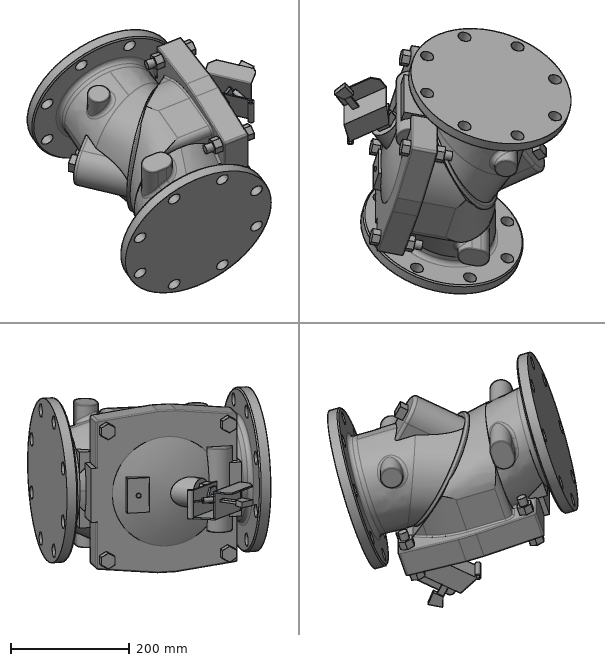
import cadquery as cq
import math

LENGTH = 355.6
OVERALL_Y = 393.33
OVERALL_Z = 282.55
FLANGE_D = 279.4
FLANGE_T = 19.5
FLANGE_CHAMFER = 2.5
BOLT_CIRCLE_D = 241.3
FLANGE_HOLE_D = 22.2
FLANGE_HOLES = 8
PIPE_R = 86.8
NECK_FILLET = 8.0
NECK_END_X = 142.0
FLANGE_FACE_X = LENGTH / 2 - FLANGE_T

COVER_Y0 = 79.5
COVER_Y1 = 125.0
COVER_HALF_X = 123.0
COVER_END_HALF_Z = 129.0
COVER_HALF_Z = OVERALL_Z / 2
COVER_CREST_HALF_X = 16.0
COVER_EDGE_FILLET = 2.0
COVER_CORNER_R = 4.0

SEAT_SUM = -16.0
SEAT_X = -25.0
SEAT_RIM = (105.0, 113.0)
SEAT_RIM_T = 9.0
SEAT_RIM_FILLET = 4.0
INLET_MOUTH = (100.0, 104.0)
INLET_OVERLAP = 2.0

NECK_CUT_TOP_X = -110.0
NECK_CUT_LOW_X = -38.0
NECK_CUT_HALF_Z = 95.0

CHAMBER_HALF_Z = 122.5
CHAMBER_SPRING_Y = 18.0
CHAMBER_FLOOR_X = 46.0
CHAMBER_FLOOR_Y = -62.0
CHAMBER_END_X = 81.0
TAPER_HALF_Z = 111.0
CHAMBER_CORNER_R = 12.0
SHOULDER_POINTS = ((-105.0, 72.0), (-71.0, 96.0), (-40.0, 114.0))
CHAMBER_BACK_X = -130.0

STUB_R = 19.0
STUB_FILLET = 1.5
INLET_STUB_X, INLET_STUB_Y, INLET_STUB_Z = -93.5, -47.0, 105.5
OUTLET_STUB_X, OUTLET_STUB_Y, OUTLET_STUB_Z = 100.8, -38.5, 124.0
OUTLET_STUB_LENGTH = 53.7

BOSS_R = 36.0
BOSS_CENTRE_W = 40.5
BOSS_START = 5.0
BOSS_END = 112.0
BOSS_FILLET = 6.0
BOSS_BACK_W = -20.0
STUD_SIZE = 21.0
STUD_CENTRE_W = 42.5
STUD_END = 127.0

BOLT_X = 105.7
BOLT_Z = 112.5
BOLT_D = 15.9
HEX_AF = 24.0
BOLT_HEAD_TOP_Y = 139.0
NUT_LOW_Y = 65.0
BOLT_END_Y = 51.0
DOME_R = 95.0
DOME_TOP_Y = 142.0
HINGE_X, HINGE_Y = -92.0, 120.8
HINGE_R = 22.7
HINGE_HALF_Z = 73.0
LUG_HALF_Z = 47.0
INLET_LUG_X = -126.5
OUTLET_LUG_X = 132.0
OUTLET_RIB_HALF_Z = 66.0
OUTLET_RIB_Y0, OUTLET_RIB_Y1 = 55.0, 82.0
PLATE_X0, PLATE_X1 = 35.0, 73.0
PLATE_HALF_Z = 30.0
PLATE_Y0, PLATE_Y1 = 130.0, 143.5
NUB_R = 4.0
NUB_TOP_Y = 146.2

SWITCH_X, SWITCH_Y = -51.5, 154.3
SWITCH_BOSS_R = 26.0
SWITCH_BOSS_DEPTH = 45.0
GLAND_V = -2.5
GLAND_NECK_R = 15.0
GLAND_R, GLAND_U0 = 21.8, 3.5
LOCKNUT_R, LOCKNUT_U1 = 16.0, 24.0
BRACKET_U0, BRACKET_U1 = 18.2, 20.7
BRACKET_V0, BRACKET_V1 = -19.7, 59.0
BRACKET_Z0, BRACKET_Z1 = -29.8, 19.7
SHEET_T = 2.5
HEAD_U0, HEAD_U1 = 54.0, 87.5
HEAD_V0, HEAD_V1 = -36.6, 46.5
HEAD_CHAMFER = 11.5
HEAD_FILLET = 9.0
BEND_R = 2.0
ROLL_U, ROLL_V = 15.8, 58.2
ROLL_R, ROLL_BORE_R = 5.2, 2.6
ROD_R = 2.3
WIRE_R = 1.2
BARREL_R = 4.7
PIVOT = (51.0, 10.2)
ROD_FOOT = (BRACKET_U0, 1.6)
BARREL_ENDS = (0.2, 0.68)
SWITCH_TOP_Y = OVERALL_Y - FLANGE_D / 2
TAB_HALF_Z = 5.0
TAB_STEM_HALF_Z = 2.0
TAB_STEM_HALF_V = 6.0
TAB_STEM_V = 23.0
TAB_POINTS = ((-121.3, 241.0), (-99.2, SWITCH_TOP_Y), (-92.5, 235.0), (-106.0, 222.5))

ROOT_FILLET = 7.0
COVER_ROOT_FILLET = 3.0
SEAM_TOLERANCE = 0.01

ROOT2 = math.sqrt(2)
SEAT_Y = SEAT_SUM - SEAT_X


def box(x0, x1, y0, y1, z0, z1):
    """Axis-aligned block between the given limits."""
    block = cq.Workplane("XY").box(x1 - x0, y1 - y0, z1 - z0, centered=False)
    return block.translate((x0, y0, z0))


def rod(start, end, radius):
    """Round bar between two points."""
    a = cq.Vector(*start)
    axis = cq.Vector(*end) - a
    return cq.Workplane(obj=cq.Solid.makeCylinder(radius, axis.Length, a, axis))


def slope_plane(x, y):
    """Plane at 45 degrees: local x runs down the slope, local y along Z, normal to -X -Y."""
    return cq.Plane(origin=(x, y, 0), xDir=(1, -1, 0), normal=(-1, -1, 0))


def ellipse_wire(plane, half_x, half_y):
    """Closed ellipse on a plane, given its half sizes."""
    return cq.Workplane(plane).ellipse(half_x, half_y).wire().val()


def ruled_loft(*wires):
    """Solid with straight sides between closed sections."""
    return cq.Workplane(obj=cq.Solid.makeLoft(list(wires), True))


def end_flange(side):
    """Drilled flange with its filleted neck; side is -1 for the inlet, +1 for the outlet."""
    half = LENGTH / 2
    fillet_end = FLANGE_FACE_X - NECK_FILLET
    diagonal = NECK_FILLET * (1 - 1 / ROOT2)
    flange_r = FLANGE_D / 2
    flange = (
        cq.Workplane("XY")
        .moveTo(NECK_END_X, 0)
        .lineTo(NECK_END_X, PIPE_R)
        .lineTo(fillet_end, PIPE_R)
        .threePointArc(
            (FLANGE_FACE_X - diagonal, PIPE_R + diagonal),
            (FLANGE_FACE_X, PIPE_R + NECK_FILLET),
        )
        .lineTo(FLANGE_FACE_X, flange_r - FLANGE_CHAMFER)
        .lineTo(FLANGE_FACE_X + FLANGE_CHAMFER, flange_r)
        .lineTo(half, flange_r)
        .lineTo(half, 0)
        .close()
        .revolve(360, (0, 0, 0), (1, 0, 0))
    )
    holes = (
        cq.Workplane("YZ", origin=(FLANGE_FACE_X, 0, 0))
        .polarArray(BOLT_CIRCLE_D / 2, 180 / FLANGE_HOLES, 360, FLANGE_HOLES)
        .circle(FLANGE_HOLE_D / 2)
        .extrude(FLANGE_T)
    )
    flange = flange.cut(holes)
    return flange if side > 0 else flange.mirror("YZ")


def inlet_body():
    """Pipe that widens from the round neck to the large inclined seat."""
    rise = 2 * PIPE_R
    run = NECK_CUT_LOW_X - NECK_CUT_TOP_X
    cut_plane = cq.Plane(
        origin=((NECK_CUT_TOP_X + NECK_CUT_LOW_X) / 2, 0, 0),
        xDir=(run, -rise, 0),
        normal=(-rise, -run, 0),
    )
    neck_plane = cq.Plane(origin=(-NECK_END_X, 0, 0), xDir=(0, -1, 0), normal=(-1, 0, 0))
    neck = ellipse_wire(neck_plane, PIPE_R, PIPE_R)
    tilted = ellipse_wire(cut_plane, math.hypot(rise, run) / 2, NECK_CUT_HALF_Z)
    mouth = ellipse_wire(
        slope_plane(SEAT_X + INLET_OVERLAP, SEAT_Y + INLET_OVERLAP), *INLET_MOUTH
    )
    body = ruled_loft(neck, tilted).union(ruled_loft(tilted, mouth))
    return body.cut(above_cover_face())


def above_cover_face():
    """Everything past mid-thickness of the cover."""
    reach = LENGTH
    return box(-reach, reach, (COVER_Y0 + COVER_Y1) / 2, reach, -reach, reach)


def seat_rim():
    """Raised oval rim where the two halves of the body meet."""
    rim = (
        cq.Workplane(slope_plane(SEAT_X, SEAT_Y))
        .ellipse(*SEAT_RIM)
        .extrude(SEAT_RIM_T / 2, both=True)
        .edges()
        .fillet(SEAT_RIM_FILLET)
    )
    return rim.cut(above_cover_face())


def floor_y(x):
    """Y of the sloping floor line of the outlet half."""
    slope = (-PIPE_R - CHAMBER_FLOOR_Y) / (NECK_END_X - CHAMBER_FLOOR_X)
    return CHAMBER_FLOOR_Y + slope * (x - CHAMBER_FLOOR_X)


def chamber_wire(x):
    """U-shaped section: elliptical floor with straight sides up into the cover."""
    depth = CHAMBER_SPRING_Y - floor_y(x)
    top = COVER_Y0 + COVER_EDGE_FILLET
    return (
        cq.Workplane(cq.Plane(origin=(x, 0, 0), xDir=(0, 0, 1), normal=(-1, 0, 0)))
        .moveTo(-CHAMBER_HALF_Z, top)
        .lineTo(-CHAMBER_HALF_Z, CHAMBER_SPRING_Y)
        .ellipseArc(CHAMBER_HALF_Z, depth, 180, 360, startAtCurrent=True)
        .lineTo(CHAMBER_HALF_Z, top)
        .close()
        .wire()
        .val()
    )


def chamber_outline():
    """Outline of the chamber seen along Y: curved shoulders and rounded outlet corners."""
    (x0, z0), (x1, z1), (x2, z2) = SHOULDER_POINTS
    return (
        cq.Workplane("XZ")
        .moveTo(x0, -z0)
        .lineTo(x1, -z1)
        .threePointArc((x2, -z2), (0, -CHAMBER_HALF_Z))
        .lineTo(CHAMBER_END_X, -CHAMBER_HALF_Z)
        .lineTo(CHAMBER_END_X, CHAMBER_HALF_Z)
        .lineTo(0, CHAMBER_HALF_Z)
        .threePointArc((x2, z2), (x1, z1))
        .lineTo(x0, z0)
        .close()
        .extrude(LENGTH, both=True)
        .edges("|Y and >X")
        .fillet(CHAMBER_CORNER_R)
    )


def outlet_body():
    """Deep chamber under the cover that tapers to the round outlet neck."""
    chamber = ruled_loft(chamber_wire(CHAMBER_BACK_X), chamber_wire(NECK_END_X))
    start_plane = cq.Plane(
        origin=(CHAMBER_END_X, CHAMBER_SPRING_Y, 0), xDir=(0, 1, 0), normal=(1, 0, 0)
    )
    end_plane = cq.Plane(origin=(NECK_END_X, 0, 0), xDir=(0, 1, 0), normal=(1, 0, 0))
    taper = ruled_loft(
        ellipse_wire(start_plane, CHAMBER_SPRING_Y - floor_y(CHAMBER_END_X), TAPER_HALF_Z),
        ellipse_wire(end_plane, PIPE_R, PIPE_R),
    )
    reach = LENGTH
    inlet_side = (
        cq.Workplane(slope_plane(SEAT_X, SEAT_Y)).rect(2 * reach, 2 * reach).extrude(reach)
    )
    return chamber.intersect(chamber_outline()).cut(inlet_side).union(taper)


def rounded_stub(profile, reach_z):
    """Stub pair through the body from a flat profile, with eased end edges."""
    stub = profile.extrude(reach_z, both=True)
    return stub.faces("<Z or >Z").edges().fillet(STUB_FILLET)


def inlet_stubs():
    """Round stub pair of the inlet half."""
    profile = cq.Workplane("XY", origin=(INLET_STUB_X, INLET_STUB_Y, 0)).circle(STUB_R)
    return rounded_stub(profile, INLET_STUB_Z)


def outlet_stubs():
    """Oblong stub pair of the outlet half."""
    profile = cq.Workplane("XY", origin=(OUTLET_STUB_X, OUTLET_STUB_Y, 0))
    return rounded_stub(profile.slot2D(OUTLET_STUB_LENGTH, 2 * STUB_R, 90), OUTLET_STUB_Z)


def join_with_fillet(body, piece, radius):
    """Union of two solids with a fillet along the new edges where they meet."""
    joined = body.union(piece)
    old_edges = cq.Compound.makeCompound(body.edges().vals() + piece.edges().vals())
    seam = []
    for edge in joined.edges().vals():
        middle = cq.Vertex.makeVertex(*edge.positionAt(0.5).toTuple())
        if old_edges.distance(middle) > SEAM_TOLERANCE:
            seam.append(edge)
    return joined.newObject(seam).fillet(radius)


def stud_boss():
    """Half-round boss with a square stud on its inclined end face."""
    boss = (
        cq.Workplane(slope_plane(0, 0))
        .workplane(offset=BOSS_START)
        .moveTo(BOSS_BACK_W, -BOSS_R)
        .lineTo(BOSS_CENTRE_W, -BOSS_R)
        .threePointArc((BOSS_CENTRE_W + BOSS_R, 0), (BOSS_CENTRE_W, BOSS_R))
        .lineTo(BOSS_BACK_W, BOSS_R)
        .close()
        .extrude(BOSS_END - BOSS_START)
        .faces(">(-1,-1,0)")
        .edges("not |Z")
        .fillet(BOSS_FILLET)
    )
    stud = (
        cq.Workplane(slope_plane(0, 0))
        .workplane(offset=BOSS_START)
        .center(STUD_CENTRE_W, 0)
        .rect(STUD_SIZE, STUD_SIZE)
        .extrude(STUD_END - BOSS_START)
    )
    return boss.union(stud)


def cover_block():
    """Cover and body flange: a block with a slight crest on its +Z and -Z sides."""
    upper = [
        (COVER_HALF_X, COVER_END_HALF_Z),
        (COVER_CREST_HALF_X, COVER_HALF_Z),
        (-COVER_CREST_HALF_X, COVER_HALF_Z),
        (-COVER_HALF_X, COVER_END_HALF_Z),
    ]
    lower = [(-x, -z) for x, z in upper]
    return (
        cq.Workplane("XZ", origin=(0, COVER_Y1, 0))
        .polyline(upper + lower)
        .close()
        .extrude(COVER_Y1 - COVER_Y0)
        .edges("|Y and (<X or >X)")
        .fillet(COVER_CORNER_R)
        .faces("<Y or >Y")
        .edges()
        .fillet(COVER_EDGE_FILLET)
    )


def cover_bolts():
    """Corner bolts with hexagonal heads, nuts and projecting ends."""
    hex_d = HEX_AF / math.cos(math.pi / 6)
    corners = [(sx * BOLT_X, sz * BOLT_Z) for sx in (-1, 1) for sz in (-1, 1)]
    bolts = (
        cq.Workplane("XZ", origin=(0, COVER_Y1, 0))
        .pushPoints(corners)
        .circle(BOLT_D / 2)
        .extrude(COVER_Y1 - BOLT_END_Y)
    )
    for x, z in corners:
        hexagon = (
            cq.Workplane("XZ", origin=(x, BOLT_HEAD_TOP_Y, z))
            .transformed(rotate=(0, 0, 90))
            .polygon(6, hex_d)
            .extrude(BOLT_HEAD_TOP_Y - NUT_LOW_Y)
        )
        bolts = bolts.union(hexagon)
    return bolts


def cover_fittings():
    """Dome, hinge housing, end lugs and name plate pad of the cover."""
    rise = DOME_TOP_Y - COVER_Y1
    ball_r = (DOME_R**2 + rise**2) / (2 * rise)
    dome_core = (
        cq.Workplane("XZ", origin=(0, COVER_Y0 + COVER_EDGE_FILLET, 0))
        .circle(DOME_R)
        .extrude(COVER_Y0 - DOME_TOP_Y)
    )
    ball = cq.Workplane("XY").sphere(ball_r).translate((0, DOME_TOP_Y - ball_r, 0))
    hinge = (
        cq.Workplane("XY", origin=(HINGE_X, HINGE_Y, 0))
        .circle(HINGE_R)
        .extrude(HINGE_HALF_Z, both=True)
        .edges()
        .fillet(STUB_FILLET)
    )
    inlet_lug = box(
        INLET_LUG_X, HINGE_X, COVER_Y0, BOLT_HEAD_TOP_Y, -LUG_HALF_Z, LUG_HALF_Z
    )
    outlet_lug = box(0, OUTLET_LUG_X, COVER_Y0, COVER_Y1, -LUG_HALF_Z, LUG_HALF_Z)
    outlet_rib = box(
        CHAMBER_END_X,
        NECK_END_X,
        OUTLET_RIB_Y0,
        OUTLET_RIB_Y1,
        -OUTLET_RIB_HALF_Z,
        OUTLET_RIB_HALF_Z,
    )
    pad = box(PLATE_X0, PLATE_X1, PLATE_Y0, PLATE_Y1, -PLATE_HALF_Z, PLATE_HALF_Z)
    nub = rod(
        ((PLATE_X0 + PLATE_X1) / 2, PLATE_Y0, 0),
        ((PLATE_X0 + PLATE_X1) / 2, NUB_TOP_Y, 0),
        NUB_R,
    )
    fittings = ball.intersect(dome_core)
    for piece in (hinge, inlet_lug, outlet_lug, outlet_rib, pad, nub):
        fittings = fittings.union(piece)
    return fittings


def switch_point(u, v):
    """X and Y of a point given along (u) and across (v) the switch axis."""
    return (SWITCH_X + (v - u) / ROOT2, SWITCH_Y + (v + u) / ROOT2)


def switch_sheet(points, z0, z1):
    """Flat piece with its outline in (u, v), between two Z levels."""
    outline = [switch_point(u, v) for u, v in points]
    return cq.Workplane("XY", origin=(0, 0, z0)).polyline(outline).close().extrude(z1 - z0)


def switch_strip(u0, u1, v0, v1, z0=BRACKET_Z0, z1=BRACKET_Z1):
    """Rectangular piece aligned with the switch axis."""
    return switch_sheet([(u0, v0), (u1, v0), (u1, v1), (u0, v1)], z0, z1)


def switch_round(u0, u1, v, radius):
    """Round piece along the switch axis."""
    return rod((*switch_point(u0, v), 0), (*switch_point(u1, v), 0), radius)


def switch_hexagon(u0, u1, radius):
    """Hexagonal nut along the switch axis with two corners in the XY plane."""
    x, y = switch_point(u0, GLAND_V)
    plane = cq.Plane(origin=(x, y, 0), xDir=(1, 1, 0), normal=(-1, 1, 0))
    return cq.Workplane(plane).polygon(6, 2 * radius).extrude(u1 - u0)


def switch_head():
    """Thin upright sheet with one bevelled corner, one rounded corner and an eased bend."""
    chamfer_v = HEAD_V0 + HEAD_CHAMFER
    chamfer_u = HEAD_U1 - HEAD_CHAMFER
    outline = [
        (HEAD_U0, HEAD_V0),
        (chamfer_u, HEAD_V0),
        (HEAD_U1, chamfer_v),
        (HEAD_U1, HEAD_V1),
        (HEAD_U0, HEAD_V1),
    ]
    sheet = switch_sheet(outline, BRACKET_Z1 - SHEET_T, BRACKET_Z1)
    sheet = sheet.edges("|Z").edges(">Y").fillet(HEAD_FILLET)
    return sheet.faces(">Z").edges(">(1,-1,0)").fillet(BEND_R)


def switch_lever():
    """Wire with a thick barrel, running from the pivot rod to the rolled sheet edge."""
    start = cq.Vector(*switch_point(*PIVOT), 0)
    end = cq.Vector(*switch_point(ROLL_U + ROLL_R, ROLL_V), 0)
    near, far = (start + (end - start) * share for share in BARREL_ENDS)
    pivot_rod = rod((*switch_point(*ROD_FOOT), 0), start.toTuple(), ROD_R)
    wire = rod(start.toTuple(), end.toTuple(), WIRE_R)
    barrel = rod(near.toTuple(), far.toTuple(), BARREL_R)
    return pivot_rod.union(wire).union(barrel)


def switch():
    """Inclined boss, gland nuts, folded bracket, lever and pull tab."""
    base = switch_strip(BRACKET_U0, BRACKET_U1, BRACKET_V0, BRACKET_V1)
    shelf = switch_strip(
        HEAD_U0, HEAD_U0 + SHEET_T, HEAD_V0, HEAD_V1, z1=BRACKET_Z1 - SHEET_T
    )
    web = switch_sheet(
        [
            (BRACKET_U0, BRACKET_V0),
            (HEAD_U0, HEAD_V0),
            (HEAD_U0 + SHEET_T, HEAD_V1),
            (BRACKET_U0, BRACKET_V1),
        ],
        BRACKET_Z0,
        BRACKET_Z0 + SHEET_T,
    )
    roll_x, roll_y = switch_point(ROLL_U, ROLL_V)
    roll_plane = cq.Workplane("XY", origin=(roll_x, roll_y, BRACKET_Z0))
    roll = roll_plane.circle(ROLL_R).extrude(BRACKET_Z1 - BRACKET_Z0)
    roll_bore = roll_plane.circle(ROLL_BORE_R).extrude(BRACKET_Z1 - BRACKET_Z0)
    tab = (
        cq.Workplane("XY")
        .polyline(TAB_POINTS)
        .close()
        .extrude(TAB_HALF_Z, both=True)
    )
    stem = switch_strip(
        HEAD_U0,
        HEAD_U1 + 2 * SHEET_T,
        TAB_STEM_V - TAB_STEM_HALF_V,
        TAB_STEM_V + TAB_STEM_HALF_V,
        -TAB_STEM_HALF_Z,
        TAB_STEM_HALF_Z,
    )
    pieces = (
        switch_round(0, GLAND_U0, GLAND_V, GLAND_NECK_R),
        switch_hexagon(GLAND_U0, BRACKET_U0, GLAND_R),
        switch_hexagon(BRACKET_U0, LOCKNUT_U1, LOCKNUT_R),
        base,
        shelf,
        web,
        switch_head(),
        switch_lever(),
        roll,
        stem,
        tab,
    )
    assembly = switch_round(-SWITCH_BOSS_DEPTH, 0, 0, SWITCH_BOSS_R)
    for piece in pieces:
        assembly = assembly.union(piece)
    return assembly.cut(roll_bore)


inlet_half = join_with_fillet(inlet_body(), inlet_stubs(), ROOT_FILLET)
outlet_half = join_with_fillet(outlet_body(), outlet_stubs(), ROOT_FILLET)
covered_outlet = join_with_fillet(outlet_half, cover_block(), COVER_ROOT_FILLET)

result = inlet_half.union(covered_outlet)
for part in (
    seat_rim(),
    stud_boss(),
    cover_fittings(),
    cover_bolts(),
    switch(),
    end_flange(-1),
    end_flange(1),
):
    result = result.union(part)